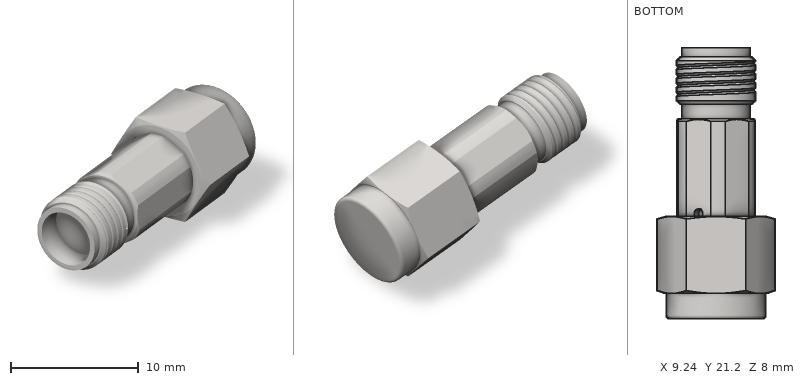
import cadquery as cq
import math


hex_sides = 6

overall_length = 21.2
nut_front = 13.19
hex_back = 19.2
barrel_front = 5.58
barrel_back = hex_back
thread_front = 0.72
thread_back = 4.43

hex_across_flats = 8.0
hex_corner_radius = hex_across_flats / math.sqrt(3)
collar_radius = 3.9
hex_chamfer_length = 0.21
hex_chamfer_front_radius = 3.9
hex_chamfer_back_radius = 4.0
collar_edge_radius = 0.28

barrel_radius = 3.2
flat_distance = 3.0
flat_turn = 3.0
barrel_chamfer_length = 0.2
barrel_end_radius = 2.97

neck_radius = 2.7
thread_radius = 3.1
thread_end_radius = 2.8
socket_radius = 2.27
socket_depth = 2.04
thread_pitch = 0.7
groove_width = 0.34
groove_depth = 0.15
groove_overshoot = 0.06
groove_back = 4.0
groove_turns = 5

lock_hole_radius = 0.38
lock_hole_depth = 2 * lock_hole_radius
lock_hole_y = 13.0
lock_hole_flat = 4
lock_hole_angle = flat_turn + lock_hole_flat * 360 / hex_sides


def revolve_about_y(profile):
    """Turn a closed (radius, y) outline about the Y axis."""
    return cq.Workplane("XY").polyline(profile).close().revolve(360, (0, 0, 0), (0, 1, 0))


def prism_along_y(across_flats, y_start, y_end):
    """Hexagonal prism with a corner on the X axis."""
    corner_diameter = 2 * across_flats / math.sqrt(3)
    length = y_end - y_start
    return (
        cq.Workplane("XZ", origin=(0, y_start, 0))
        .polygon(hex_sides, corner_diameter)
        .extrude(-length)
    )


def make_nut():
    """Hexagon nut with a round collar behind it and a bore that fits the barrel."""
    collar = revolve_about_y([
        (0, nut_front),
        (collar_radius, nut_front),
        (collar_radius, overall_length),
        (0, overall_length),
    ])
    collar = collar.faces(">Y").edges().fillet(collar_edge_radius)
    hex_envelope = revolve_about_y([
        (0, nut_front),
        (hex_chamfer_front_radius, nut_front),
        (hex_corner_radius, nut_front + hex_chamfer_length),
        (hex_corner_radius, hex_back - hex_chamfer_length),
        (hex_chamfer_back_radius, hex_back),
        (0, hex_back),
    ])
    hexagon = prism_along_y(hex_across_flats, nut_front, hex_back).intersect(hex_envelope)
    bore = revolve_about_y([
        (0, nut_front),
        (barrel_radius, nut_front),
        (barrel_radius, barrel_back),
        (0, barrel_back),
    ])
    return hexagon.union(collar).cut(bore)


def make_barrel_shank():
    """Round shank with six flats; its front end is chamfered."""
    shank = revolve_about_y([
        (0, barrel_front),
        (barrel_end_radius, barrel_front),
        (barrel_radius, barrel_front + barrel_chamfer_length),
        (barrel_radius, barrel_back),
        (0, barrel_back),
    ])
    flats = prism_along_y(2 * flat_distance, barrel_front, barrel_back)
    half_step = 180 / hex_sides
    flats = flats.rotate((0, 0, 0), (0, 1, 0), -(half_step + flat_turn))
    return shank.intersect(flats)


def make_socket_blank():
    """Neck, thread blank and nose in front of the shank."""
    end_chamfer = thread_radius - thread_end_radius
    return revolve_about_y([
        (0, 0),
        (neck_radius, 0),
        (neck_radius, thread_front),
        (thread_end_radius, thread_front),
        (thread_radius, thread_front + end_chamfer),
        (thread_radius, thread_back - end_chamfer),
        (thread_end_radius, thread_back),
        (neck_radius, thread_back),
        (neck_radius, barrel_front),
        (0, barrel_front),
    ])


def make_thread_groove():
    """Right-hand V groove from ahead of the thread to groove_back, with both ends on the +X side."""
    groove_length = groove_turns * thread_pitch
    y_start = groove_back - groove_length
    root_radius = thread_radius - groove_depth
    outer_radius = thread_radius + groove_overshoot
    half_width = groove_width / 2 * (groove_depth + groove_overshoot) / groove_depth
    groove_profile = cq.Wire.makePolygon([
        cq.Vector(root_radius, 0, 0),
        cq.Vector(outer_radius, 0, half_width),
        cq.Vector(outer_radius, 0, -half_width),
    ], close=True)
    helix = cq.Wire.makeHelix(thread_pitch, groove_length, thread_radius)
    cutter = cq.Solid.sweep(groove_profile, [], helix, True, True)
    cutter = cutter.rotate(cq.Vector(0, 0, 0), cq.Vector(1, 0, 0), -90)
    return cq.Workplane(obj=cutter.translate(cq.Vector(0, y_start, 0)))


def make_lock_hole():
    """Blind hole normal to one flat."""
    angle = math.radians(lock_hole_angle)
    outward = cq.Vector(math.cos(angle), 0, math.sin(angle))
    floor = outward * (flat_distance - lock_hole_depth) + cq.Vector(0, lock_hole_y, 0)
    drill_length = 2 * lock_hole_depth
    return cq.Workplane(obj=cq.Solid.makeCylinder(lock_hole_radius, drill_length, floor, outward))


def make_barrel():
    """Shank and threaded socket in one piece."""
    socket_bore = revolve_about_y([
        (0, 0),
        (socket_radius, 0),
        (socket_radius, socket_depth),
        (0, socket_depth),
    ])
    socket = make_socket_blank().cut(make_thread_groove())
    return make_barrel_shank().union(socket).cut(socket_bore).cut(make_lock_hole())


nut = make_nut()
barrel = make_barrel()

result = cq.Compound.makeCompound([nut.val(), barrel.val()])